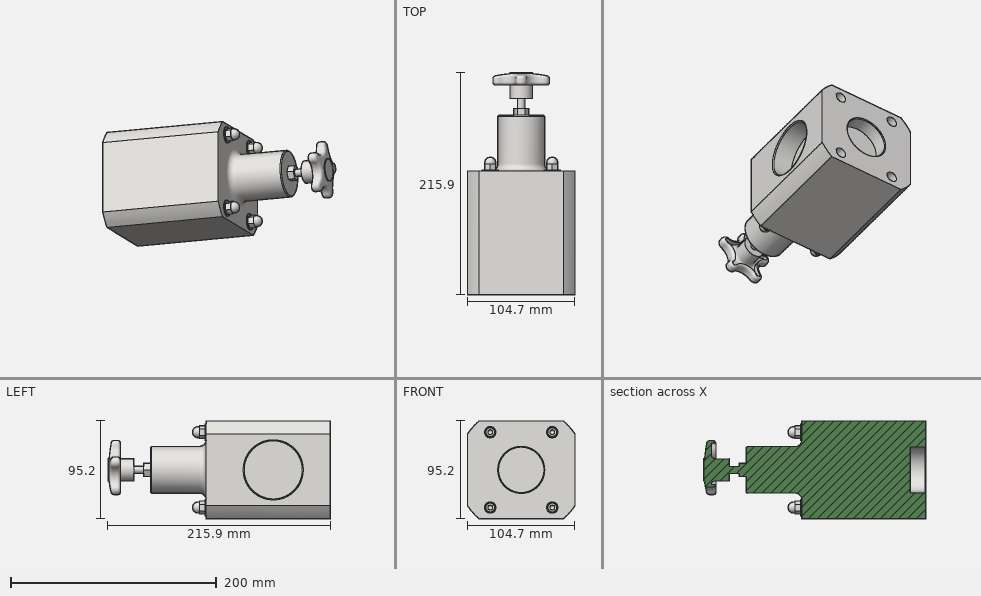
import cadquery as cq
import math


body_width = 104.7
body_height = 95.2
body_length = 120.7
body_turned_radius = 62.8

front_port_diameter = 44.0
front_port_depth = 15.1
front_port_chamfer = 0.9
side_port_diameter = 56.3
side_port_depth = 21.5
side_port_chamfer = 1.0
side_port_y = 55.5

screw_spacing_x = 60.2
screw_spacing_z = 73.2
recess_diameter = 11.0
recess_depth = 16.0
head_diameter = 9.5
head_height = 6.0
head_chamfer = 0.5
socket_flats = 4.5
socket_depth = 3.0
socket_tip_depth = 1.3
washer_diameter = 16.0
washer_thickness = 0.9
cap_nut_flats = 11.0
cap_nut_height = 5.6
cap_shoulder_height = 1.3
cap_dome_diameter = 11.0

bonnet_diameter = 45.8
bonnet_end_y = 174.7
bonnet_chamfer = 1.0
bonnet_base_fillet = 6.5
lock_nut_flats = 13.0
lock_nut_end_y = 181.3
spindle_diameter = 7.3

hub_diameter = 22.0
hub_start_y = 190.8
knob_top_y = 215.9
star_bottom_y = 203.8
star_top_y = 215.5
lobe_count = 5
lobe_radius = 5.2
lobe_center_radius = 23.5
valley_radius = 17.0
star_dome_radius = 136.0
star_edge_fillet = 2.8
star_wall = 3.0
star_pocket_depth = 4.3
hub_flare_radius = 3.2

corner_up = 30


def plane_at(y):
    """Plane across the valve axis: local x is +X, local y is +Z, normal is -Y."""
    return cq.Workplane("XZ", origin=(0, y, 0))


def cylinder(diameter, start_y, end_y):
    return plane_at(start_y).circle(diameter / 2).extrude(start_y - end_y)


def hexagon(flats, start_y, end_y, turn=0):
    """Hexagonal prism along Y; with no turn, two corners point along X."""
    corner_diameter = flats / math.cos(math.pi / 6)
    prism = plane_at(start_y).polygon(6, corner_diameter).extrude(start_y - end_y)
    return prism.rotate((0, 0, 0), (0, 1, 0), turn)


def make_body():
    block = plane_at(0).rect(body_width, body_height).extrude(-body_length)
    return block.intersect(cylinder(2 * body_turned_radius, 0, body_length))


def make_port(diameter, depth, chamfer):
    """Cutter for a blind port that enters at Y = 0, with a chamfered mouth."""
    radius = diameter / 2
    profile = [(0, 0), (radius + chamfer, 0), (radius, chamfer), (radius, depth), (0, depth)]
    return cq.Workplane("XY").polyline(profile).close().revolve(360, (0, 0, 0), (0, 1, 0))


def make_side_port():
    port = make_port(side_port_diameter, side_port_depth, side_port_chamfer)
    return port.rotate((0, 0, 0), (0, 0, 1), -90).translate((-body_width / 2, side_port_y, 0))


def make_socket_head():
    top_y = recess_depth - head_height
    socket_floor_y = top_y + socket_depth
    head = cylinder(head_diameter, top_y, recess_depth).faces("<Y").chamfer(head_chamfer)
    tip = cq.Workplane(cq.Solid.makeCone(
        socket_flats / 2, 0, socket_tip_depth,
        pnt=cq.Vector(0, socket_floor_y, 0), dir=cq.Vector(0, 1, 0)))
    return head.cut(hexagon(socket_flats, top_y, socket_floor_y, turn=corner_up)).cut(tip)


def make_cap_nut():
    nut_y = body_length + washer_thickness
    shoulder_y = nut_y + cap_nut_height
    dome_y = shoulder_y + cap_shoulder_height
    washer = cylinder(washer_diameter, body_length, nut_y)
    nut = hexagon(cap_nut_flats, nut_y, shoulder_y, turn=corner_up)
    radius = cap_dome_diameter / 2
    dome_middle = (radius * math.sin(math.pi / 4), dome_y + radius * math.cos(math.pi / 4))
    cap = (
        cq.Workplane("XY")
        .moveTo(0, nut_y)
        .lineTo(radius, nut_y)
        .lineTo(radius, dome_y)
        .threePointArc(dome_middle, (0, dome_y + radius))
        .close()
        .revolve(360, (0, 0, 0), (0, 1, 0))
    )
    return washer.union(nut).union(cap)


def flared_cylinder(diameter, fillet, base_y, end_y, end_chamfer=0):
    """Cylinder along Y, flared by a concave fillet at base_y, with an optional end chamfer."""
    radius = diameter / 2
    toward_end = math.copysign(1, end_y - base_y)
    arc_offset = fillet * (1 - math.sin(math.pi / 4))
    outline = (
        cq.Workplane("XY")
        .moveTo(0, base_y)
        .lineTo(radius + fillet, base_y)
        .threePointArc(
            (radius + arc_offset, base_y + toward_end * arc_offset),
            (radius, base_y + toward_end * fillet))
        .lineTo(radius, end_y - toward_end * end_chamfer)
    )
    if end_chamfer:
        outline = outline.lineTo(radius - end_chamfer, end_y)
    return outline.lineTo(0, end_y).close().revolve(360, (0, 0, 0), (0, 1, 0))


def polar(radius, angle):
    return (radius * math.cos(angle), radius * math.sin(angle))


def star_outline():
    """Round lobes joined by tangent valley arcs, one lobe pointing up."""
    pitch = 2 * math.pi / lobe_count
    reach = lobe_center_radius * math.cos(pitch / 2)
    valley_arc_radius = (
        (valley_radius**2 + lobe_center_radius**2 - 2 * valley_radius * reach - lobe_radius**2)
        / (2 * (lobe_radius + reach - valley_radius))
    )
    valley_center_radius = valley_radius + valley_arc_radius
    lobe_share = lobe_radius / (lobe_radius + valley_arc_radius)

    def tangent_point(lobe_angle, valley_angle):
        lobe = polar(lobe_center_radius, lobe_angle)
        valley = polar(valley_center_radius, valley_angle)
        return tuple(a + (b - a) * lobe_share for a, b in zip(lobe, valley))

    first_angle = math.pi / 2
    outline = plane_at(star_bottom_y).moveTo(*tangent_point(first_angle, first_angle - pitch / 2))
    for index in range(lobe_count):
        angle = first_angle + index * pitch
        valley_angle = angle + pitch / 2
        lobe_tip = polar(lobe_center_radius + lobe_radius, angle)
        outline = outline.threePointArc(lobe_tip, tangent_point(angle, valley_angle))
        valley_bottom = polar(valley_radius, valley_angle)
        outline = outline.threePointArc(valley_bottom, tangent_point(angle + pitch, valley_angle))
    return outline.close()


def make_star():
    """Domed star with rounded edges and a pocket in its underside that follows the outline."""
    star = star_outline().extrude(star_bottom_y - knob_top_y)
    dome = cq.Workplane("XY").sphere(star_dome_radius).translate((0, star_top_y - star_dome_radius, 0))
    star = star.intersect(dome)
    star = star.faces("<Y or >Y").edges().fillet(star_edge_fillet)
    pocket = star_outline().offset2D(-star_wall).extrude(-star_pocket_depth)
    return star.cut(pocket)


def make_knob():
    """Star on its hub; inside the pocket the hub flares into the pocket floor."""
    pocket_floor_y = star_bottom_y + star_pocket_depth
    lower_hub = flared_cylinder(hub_diameter, hub_flare_radius, pocket_floor_y, hub_start_y)
    upper_hub = cylinder(hub_diameter, pocket_floor_y, knob_top_y)
    return make_star().union(lower_hub).union(upper_hub)


result = make_body()
result = result.cut(make_port(front_port_diameter, front_port_depth, front_port_chamfer))
result = result.cut(make_side_port())

recess = cylinder(recess_diameter, 0, recess_depth)
socket_head = make_socket_head()
cap_nut = make_cap_nut()
screw_positions = cq.Workplane("XZ").rect(screw_spacing_x, screw_spacing_z).vertices().vals()
for vertex in screw_positions:
    place = vertex.toTuple()
    result = result.cut(recess.translate(place))
    result = result.union(socket_head.translate(place))
    result = result.union(cap_nut.translate(place))

result = result.union(
    flared_cylinder(bonnet_diameter, bonnet_base_fillet, body_length, bonnet_end_y, bonnet_chamfer))
result = result.union(hexagon(lock_nut_flats, bonnet_end_y, lock_nut_end_y))
result = result.union(cylinder(spindle_diameter, lock_nut_end_y, hub_start_y))
result = result.union(make_knob())